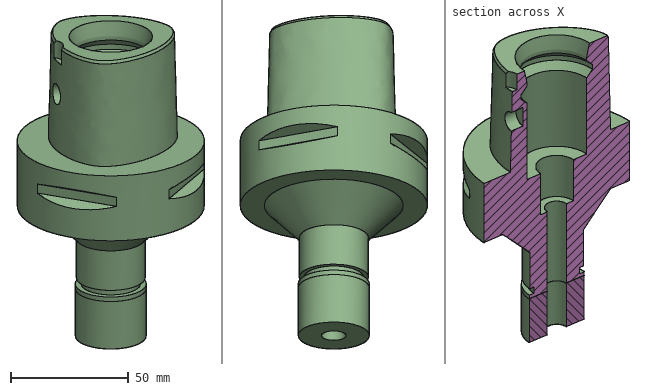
import cadquery as cq
import math

TOTAL_HEIGHT = 138.0
NUT_HEIGHT = 22.0
NUT_RADIUS = 15.2
COLLAR_TOP = 24.0
GROOVE_TOP = 26.9
GROOVE_RADIUS = 12.7
NECK_TOP = 45.1
NECK_RADIUS = 14.8
FLANGE_BOTTOM = 60.0
FLANGE_TOP = 90.0
FLANGE_RADIUS = 40.0
CONE_TOP_RADIUS = NECK_RADIUS + FLANGE_BOTTOM - NECK_TOP

SHANK_BASE_RADIUS = 27.6
SHANK_LOBE = 2.0
SHANK_TAPER = 0.025
SHANK_CHAMFER_HEIGHT = 1.2
SHANK_CHAMFER_WIDTH = 0.7
OUTLINE_POINTS = 48

MOUTH_RADIUS = 17.8
MAIN_BORE_RADIUS = 16.3
LIP_START = 6.6
LIP_END = 8.3
CLAMP_GROOVE_RADIUS = 19.5
CLAMP_GROOVE_FLANK = CLAMP_GROOVE_RADIUS - MAIN_BORE_RADIUS
CLAMP_GROOVE_END = 17.0
MAIN_BORE_DEPTH = 55.2
SCREW_BORE_RADIUS = 9.0
SCREW_BORE_DEPTH = 75.9
THROUGH_RADIUS = 5.2

NOTCH_RADIUS = 5.5
NOTCH_DEPTH = 7.9
NOTCH_INNER_Y = -22.1
SIDE_HOLE_RADIUS = 4.5
SIDE_HOLE_DROP = 22.9
SIDE_HOLE_FLOOR_Y = -18.6

SLOT_COUNT = 4
SLOT_Z = 78.0
SLOT_FLOOR_RADIUS = 35.5
SLOT_FLOOR_HEIGHT = 4.1
SLOT_MOUTH_HEIGHT = 8.8


def disc(radius, bottom, top):
    return cq.Workplane("XY").workplane(offset=bottom).circle(radius).extrude(top - bottom)


def lobe_outline(radius):
    """Points of the curve whose tangents lie radius + lobe * cos(3a) from the axis."""
    points = []
    for i in range(OUTLINE_POINTS):
        a = 2 * math.pi * i / OUTLINE_POINTS
        along = radius * math.cos(a) + SHANK_LOBE * (2 * math.cos(2 * a) - math.cos(4 * a))
        across = radius * math.sin(a) - SHANK_LOBE * (2 * math.sin(2 * a) + math.sin(4 * a))
        points.append((-across, along))
    return points


def lobe_loft(bottom_radius, bottom, top_radius, top):
    return (
        cq.Workplane("XY").workplane(offset=bottom)
        .spline(lobe_outline(bottom_radius), periodic=True).close()
        .workplane(offset=top - bottom)
        .spline(lobe_outline(top_radius), periodic=True).close()
        .loft(ruled=True)
    )


def make_shank():
    shoulder = TOTAL_HEIGHT - SHANK_CHAMFER_HEIGHT
    shoulder_radius = SHANK_BASE_RADIUS - SHANK_TAPER * (shoulder - FLANGE_TOP)
    end_radius = shoulder_radius - SHANK_CHAMFER_WIDTH
    taper = lobe_loft(SHANK_BASE_RADIUS, FLANGE_TOP, shoulder_radius, shoulder)
    return taper.union(lobe_loft(shoulder_radius, shoulder, end_radius, TOTAL_HEIGHT))


def make_turned_body():
    profile = [
        (0, NUT_HEIGHT),
        (NUT_RADIUS, NUT_HEIGHT),
        (NUT_RADIUS, COLLAR_TOP),
        (GROOVE_RADIUS, COLLAR_TOP),
        (GROOVE_RADIUS, GROOVE_TOP),
        (NECK_RADIUS, GROOVE_TOP),
        (NECK_RADIUS, NECK_TOP),
        (CONE_TOP_RADIUS, FLANGE_BOTTOM),
        (FLANGE_RADIUS, FLANGE_BOTTOM),
        (FLANGE_RADIUS, FLANGE_TOP),
        (0, FLANGE_TOP),
    ]
    return cq.Workplane("XZ").polyline(profile).close().revolve(360, (0, 0), (0, 1))


def make_bore():
    steps = [
        (0, 0),
        (MOUTH_RADIUS, 0),
        (MAIN_BORE_RADIUS, LIP_START),
        (MAIN_BORE_RADIUS, LIP_END),
        (CLAMP_GROOVE_RADIUS, LIP_END + CLAMP_GROOVE_FLANK),
        (CLAMP_GROOVE_RADIUS, CLAMP_GROOVE_END - CLAMP_GROOVE_FLANK),
        (MAIN_BORE_RADIUS, CLAMP_GROOVE_END),
        (MAIN_BORE_RADIUS, MAIN_BORE_DEPTH),
        (SCREW_BORE_RADIUS, MAIN_BORE_DEPTH),
        (SCREW_BORE_RADIUS, SCREW_BORE_DEPTH),
        (THROUGH_RADIUS, SCREW_BORE_DEPTH),
        (THROUGH_RADIUS, TOTAL_HEIGHT),
        (0, TOTAL_HEIGHT),
    ]
    profile = [(radius, TOTAL_HEIGHT - depth) for radius, depth in steps]
    return cq.Workplane("XZ").polyline(profile).close().revolve(360, (0, 0), (0, 1))


def make_end_notch():
    notch = disc(NOTCH_RADIUS, TOTAL_HEIGHT - NOTCH_DEPTH, TOTAL_HEIGHT)
    return notch.translate((0, NOTCH_INNER_Y - NOTCH_RADIUS, 0))


def make_side_hole():
    return (
        cq.Workplane("XZ", origin=(0, SIDE_HOLE_FLOOR_Y, TOTAL_HEIGHT - SIDE_HOLE_DROP))
        .circle(SIDE_HOLE_RADIUS)
        .extrude(FLANGE_RADIUS + SIDE_HOLE_FLOOR_Y)
    )


def make_gripper_slot(angle):
    """Straight slot across the flange rim, with sloping upper and lower faces."""
    half_floor = SLOT_FLOOR_HEIGHT / 2
    half_mouth = SLOT_MOUTH_HEIGHT / 2
    section = [
        (SLOT_FLOOR_RADIUS, SLOT_Z - half_floor),
        (FLANGE_RADIUS, SLOT_Z - half_mouth),
        (FLANGE_RADIUS, SLOT_Z + half_mouth),
        (SLOT_FLOOR_RADIUS, SLOT_Z + half_floor),
    ]
    slot = cq.Workplane("XZ").polyline(section).close().extrude(FLANGE_RADIUS, both=True)
    return slot.rotate((0, 0, 0), (0, 0, 1), angle)


def make_holder():
    holder = make_turned_body().union(make_shank())
    holder = holder.cut(make_bore()).cut(make_end_notch()).cut(make_side_hole())
    pitch = 360 / SLOT_COUNT
    for i in range(SLOT_COUNT):
        holder = holder.cut(make_gripper_slot((i + 0.5) * pitch))
    return holder


def make_nut():
    return disc(NUT_RADIUS, 0, NUT_HEIGHT).cut(disc(THROUGH_RADIUS, 0, NUT_HEIGHT))


holder = make_holder()
nut = make_nut()
result = cq.Compound.makeCompound([holder.val(), nut.val()])